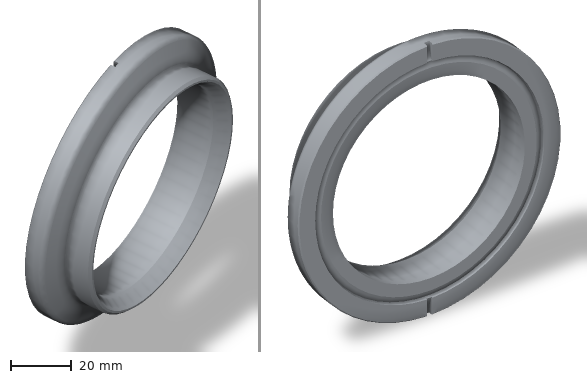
import cadquery as cq
import math

length = 20.0
flange_radius = 52.4
hub_radius = 86.0 / 2
bore_radius = 76.5 / 2
rim_end = 7.0
cone_angle = 21.0
rim_fillet = 2.0
root_fillet = 1.2
front_chamfer = 0.4
hub_chamfer = 0.9

groove_outer_radius = 45.7
groove_bottom_radius = 45.3
groove_depth = 1.5
groove_wall_depth = 0.9
land_radius = hub_radius
land_depth = 0.5

flare_radius = 82.6 / 2
flare_angle = 30.0

notch_width = 2.1
notch_rim_depth = 2.0
notch_inner_depth = 0.5

cone_end = rim_end + (flange_radius - hub_radius) * math.tan(math.radians(cone_angle))
flare_depth = (flare_radius - bore_radius) / math.tan(math.radians(flare_angle))

notch_length = flange_radius - groove_outer_radius
notch_drop = notch_rim_depth - notch_inner_depth
notch_floor_radius = (notch_length**2 + notch_drop**2) / (2 * notch_drop)


def revolve_about_x(outline):
    """Revolve a closed outline of (x, radius) points about the ring axis."""
    return cq.Workplane("XY").polyline(outline).close().revolve(360, (0, 0, 0), (1, 0, 0))


def edges_at(body, x):
    """Select the circular edges lying in the plane at the given X."""
    margin = 0.01
    reach = flange_radius + 1
    slab = cq.selectors.BoxSelector(
        (x - margin, -reach, -reach), (x + margin, reach, reach), boundingbox=True
    )
    return body.edges(slab)


def outer_body():
    """Solid flange, clamping cone and hub, with the edges rounded or chamfered."""
    body = revolve_about_x([
        (0, 0),
        (0, flange_radius),
        (rim_end, flange_radius),
        (cone_end, hub_radius),
        (length, hub_radius),
        (length, 0),
    ])
    body = edges_at(body, rim_end).fillet(rim_fillet)
    body = edges_at(body, cone_end).fillet(root_fillet)
    body = edges_at(body, 0).chamfer(front_chamfer)
    return edges_at(body, length).chamfer(hub_chamfer)


def inner_cutter():
    """Face groove, recessed land, bore and rear flare as one revolved cutter."""
    return revolve_about_x([
        (0, 0),
        (0, groove_outer_radius),
        (groove_wall_depth, groove_outer_radius),
        (groove_depth, groove_bottom_radius),
        (land_depth, land_radius),
        (land_depth, bore_radius),
        (length - flare_depth, bore_radius),
        (length, flare_radius),
        (length, 0),
    ])


def notch_cutters():
    """Discs centred over the rim at the top and bottom, cutting the curved notches."""
    disc_x = notch_rim_depth - notch_floor_radius
    return (
        cq.Workplane("XZ")
        .pushPoints([(disc_x, flange_radius), (disc_x, -flange_radius)])
        .circle(notch_floor_radius)
        .extrude(notch_width / 2, both=True)
    )


result = outer_body().cut(inner_cutter()).cut(notch_cutters())